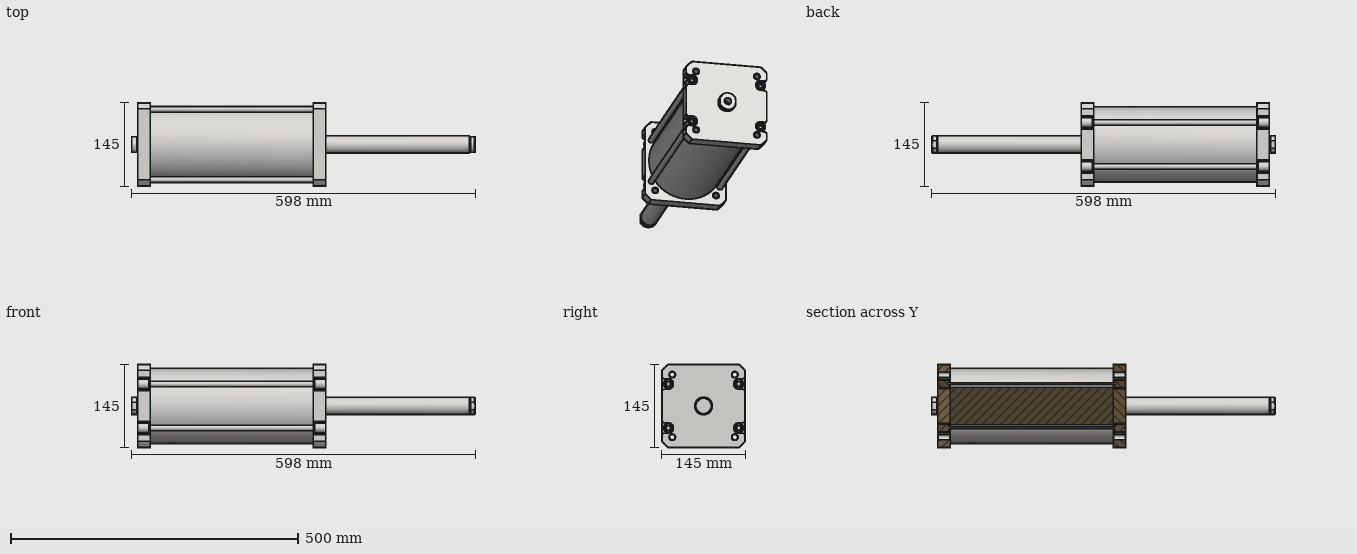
import cadquery as cq
import math

overall_length = 598.0
stub_length = 10.0
plate_thickness = 22.0
barrel_length = 283.5

near_plate_x = stub_length
barrel_x = near_plate_x + plate_thickness
far_plate_x = barrel_x + barrel_length
far_face_x = far_plate_x + plate_thickness

plate_side = 145.0
plate_corner_diameter = 190.0
mount_hole_diameter = 9.5
mount_hole_chamfer = 0.9
mount_hole_pitch = 109.0

tie_rod_diameter = 10.0
tie_rod_pitch_y = 122.5
tie_rod_pitch_z = 76.5
head_diameter = 16.0
socket_sides = 6
socket_across_flats = 8.0
socket_chamfer_diameter = 10.0
socket_depth = 6.0
pocket_width = 18.0
pocket_floor = 3.0
pocket_mouth_chamfer = 3.0
pocket_depth = plate_thickness - pocket_floor

barrel_diameter = 131.5
rod_diameter = 30.5
rod_across_flats = 27.5
rod_neck_width = 2.0
rod_head_length = stub_length - rod_neck_width
rod_end_chamfer = 2.0
rod_hole_diameter = 12.0
rod_hole_depth = 18.0
drill_point_angle = 118.0

tie_rod_places = [
    (side_y * tie_rod_pitch_y / 2, side_z * tie_rod_pitch_z / 2)
    for side_y in (-1, 1)
    for side_z in (-1, 1)
]


def section_plane(x):
    """Plane facing +X whose local axes are the part's Y and Z."""
    return cq.Workplane("YZ", origin=(x, 0, 0))


def cylinder(x, length, diameter):
    """Cylinder on the main axis, from x towards +X."""
    return section_plane(x).circle(diameter / 2).extrude(length)


def cone(x, length, start_diameter, end_diameter):
    """Cone frustum on the main axis, from x towards +X."""
    base = cq.Vector(x, 0, 0)
    direction = cq.Vector(1, 0, 0)
    return cq.Workplane(cq.Solid.makeCone(start_diameter / 2, end_diameter / 2, length, base, direction))


def head_pocket(x, center_y, center_z):
    """Round-ended slot open to the nearest Y side, with a chamfered mouth."""
    outward = math.copysign(1, center_y)
    half_width = pocket_width / 2
    edge_y = outward * plate_side / 2
    mouth_y = edge_y - outward * pocket_mouth_chamfer
    mouth_half_width = half_width + pocket_mouth_chamfer
    return (
        section_plane(x)
        .moveTo(center_y, center_z + half_width)
        .lineTo(mouth_y, center_z + half_width)
        .lineTo(edge_y, center_z + mouth_half_width)
        .lineTo(edge_y, center_z - mouth_half_width)
        .lineTo(mouth_y, center_z - half_width)
        .lineTo(center_y, center_z - half_width)
        .threePointArc((center_y - outward * half_width, center_z), (center_y, center_z + half_width))
        .close()
        .extrude(pocket_depth)
    )


def mount_hole(x):
    """Through hole on the main axis, chamfered at both plate faces."""
    mouth_diameter = mount_hole_diameter + 2 * mount_hole_chamfer
    hole = cylinder(x, plate_thickness, mount_hole_diameter)
    near_mouth = cone(x, mount_hole_chamfer, mouth_diameter, mount_hole_diameter)
    far_mouth_x = x + plate_thickness - mount_hole_chamfer
    far_mouth = cone(far_mouth_x, mount_hole_chamfer, mount_hole_diameter, mouth_diameter)
    return hole.union(near_mouth).union(far_mouth)


def end_plate(x, pocket_x):
    """Square plate with turned corners; the head pockets start at pocket_x."""
    plate = section_plane(x).rect(plate_side, plate_side).extrude(plate_thickness)
    plate = plate.intersect(cylinder(x, plate_thickness, plate_corner_diameter))
    for side_y in (-1, 1):
        for side_z in (-1, 1):
            place = (0, side_y * mount_hole_pitch / 2, side_z * mount_hole_pitch / 2)
            plate = plate.cut(mount_hole(x).translate(place))
    tie_rod_holes = (
        section_plane(x).pushPoints(tie_rod_places).circle(tie_rod_diameter / 2).extrude(plate_thickness)
    )
    plate = plate.cut(tie_rod_holes).cut(cylinder(x, plate_thickness, rod_diameter))
    for center_y, center_z in tie_rod_places:
        plate = plate.cut(head_pocket(pocket_x, center_y, center_z))
    return plate


def tie_rod(center_y, center_z):
    """Rod with a socketed head at each end, flush with the outer plate faces."""
    full_length = far_face_x - near_plate_x
    socket_diameter = socket_across_flats / math.cos(math.pi / socket_sides)
    rod = section_plane(near_plate_x).circle(tie_rod_diameter / 2).extrude(full_length)
    for head_x in (near_plate_x, far_face_x - pocket_depth):
        rod = rod.union(cylinder(head_x, pocket_depth, head_diameter))
    for socket_x in (near_plate_x, far_face_x - socket_depth):
        rod = rod.cut(section_plane(socket_x).polygon(socket_sides, socket_diameter).extrude(socket_depth))
    chamfer_length = (socket_chamfer_diameter - socket_across_flats) / 2
    rod = rod.cut(cone(near_plate_x, chamfer_length, socket_chamfer_diameter, socket_across_flats))
    far_cone_x = far_face_x - chamfer_length
    rod = rod.cut(cone(far_cone_x, chamfer_length, socket_across_flats, socket_chamfer_diameter))
    return rod.translate((0, center_y, center_z))


def wrench_flats(x, length):
    """The two blocks that cut a pair of flats facing -Y and +Y."""
    flat_depth = (rod_diameter - rod_across_flats) / 2
    flat_center = (rod_across_flats + flat_depth) / 2
    return (
        section_plane(x)
        .pushPoints([(-flat_center, 0), (flat_center, 0)])
        .rect(flat_depth, rod_diameter)
        .extrude(length)
    )


def rod_neck(x):
    """Ring that cuts the relief neck between a flatted end and the rod."""
    return cylinder(x, rod_neck_width, rod_diameter).cut(cylinder(x, rod_neck_width, rod_across_flats))


def rod_hole():
    """Blind axial hole with a drill point, in the stub end of the rod."""
    radius = rod_hole_diameter / 2
    point_length = radius / math.tan(math.radians(drill_point_angle / 2))
    return (
        cq.Workplane("XY")
        .polyline([(0, 0), (0, radius), (rod_hole_depth, radius), (rod_hole_depth + point_length, 0)])
        .close()
        .revolve(360, (0, 0, 0), (1, 0, 0))
    )


def piston_rod():
    """Rod through the whole cylinder, with wrench flats at both ends."""
    rod = cylinder(0, overall_length, rod_diameter).faces(">X").chamfer(rod_end_chamfer)
    rod = rod.cut(wrench_flats(0, rod_head_length))
    rod = rod.cut(wrench_flats(overall_length - rod_head_length, rod_head_length))
    for neck_x in (rod_head_length, overall_length - stub_length):
        rod = rod.cut(rod_neck(neck_x))
    return rod.cut(rod_hole())


near_plate = end_plate(near_plate_x, near_plate_x)
far_plate = end_plate(far_plate_x, far_face_x - pocket_depth)
barrel = cylinder(barrel_x, barrel_length, barrel_diameter).cut(
    cylinder(barrel_x, barrel_length, rod_diameter)
)
rod = piston_rod()
tie_rods = [tie_rod(center_y, center_z) for center_y, center_z in tie_rod_places]

result = cq.Compound.makeCompound(
    [near_plate.val(), far_plate.val(), barrel.val(), rod.val(), *[body.val() for body in tie_rods]]
)